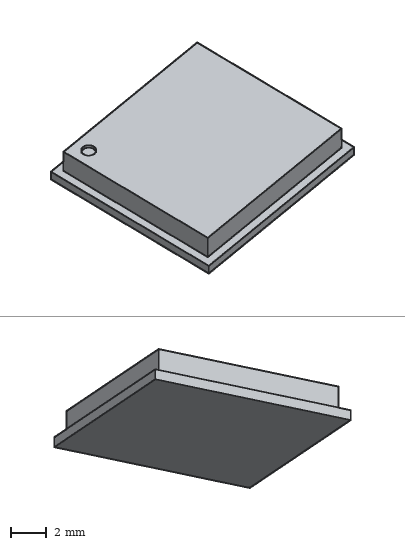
import cadquery as cq

board_width = 11.6
board_length = 12.5
board_thickness = 0.6
total_height = 2.1

can_margin = 0.5
can_width = board_width - 2 * can_margin
can_length = board_length - 2 * can_margin
can_height = total_height - board_thickness

mark_diameter = 0.84
mark_depth = 0.2
mark_inset = 1.0
mark_x = mark_inset - can_width / 2
mark_y = mark_inset - can_length / 2


def make_board():
    """Flat rectangular board with its underside at Z = 0."""
    return cq.Workplane("XY").box(
        board_width, board_length, board_thickness, centered=(True, True, False)
    )


def make_can():
    """Rectangular block on the board with the shallow pin-one mark."""
    block = (
        cq.Workplane("XY")
        .workplane(offset=board_thickness)
        .box(can_width, can_length, can_height, centered=(True, True, False))
    )
    mark = (
        cq.Workplane("XY")
        .workplane(offset=total_height - mark_depth)
        .center(mark_x, mark_y)
        .circle(mark_diameter / 2)
        .extrude(mark_depth)
    )
    return block.cut(mark)


board = make_board()
can = make_can()
result = cq.Compound.makeCompound([board.val(), can.val()])